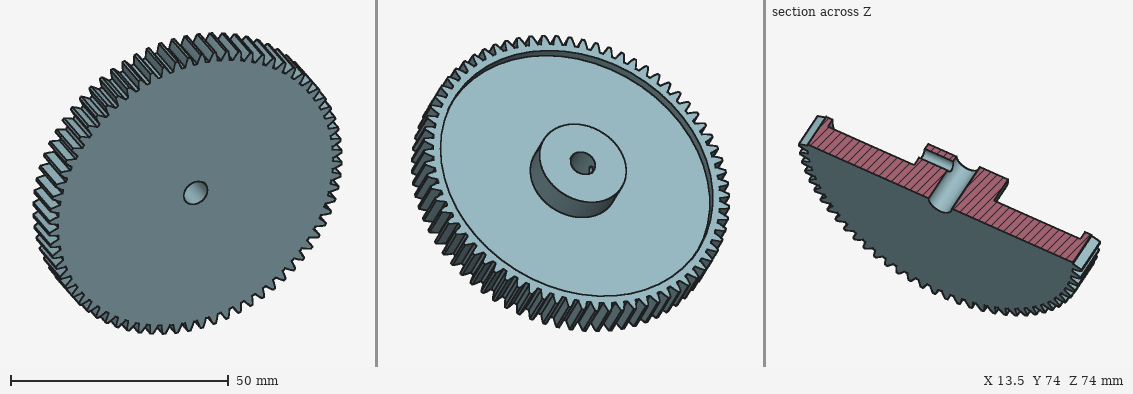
import cadquery as cq
import math

tooth_count = 72
module = 1.0
dedendum_factor = 1.25
tip_width = 0.66
pitch_width = 1.425
root_width = 2.18

face_width = 9.0
hub_length = 4.5
hub_diameter = 21.0
bore_diameter = 6.0
recess_diameter = 66.0
recess_depth = 2.25
screw_hole_diameter = 2.7
screw_hole_x = 3.05

pitch_radius = module * tooth_count / 2
tip_radius = pitch_radius + module
root_radius = pitch_radius - dedendum_factor * module
angular_pitch = 2 * math.pi / tooth_count

gear_face_x = hub_length
total_length = hub_length + face_width
recess_floor_x = gear_face_x + recess_depth


def polar(radius, angle):
    return (radius * math.cos(angle), radius * math.sin(angle))


def half_angle(width, radius):
    """Half of the angle that an arc of the given width spans."""
    return width / (2 * radius)


def cylinder_along_x(diameter, start_x, end_x):
    return cq.Workplane("YZ").workplane(offset=start_x).circle(diameter / 2).extrude(end_x - start_x)


def make_toothed_blank():
    """Toothed disc along X, with a tooth gap centred on the +Y direction."""
    tip_half_angle = half_angle(tip_width, tip_radius)
    pitch_half_angle = half_angle(pitch_width, pitch_radius)
    root_half_angle = half_angle(root_width, root_radius)

    outline = cq.Workplane("YZ").workplane(offset=gear_face_x)
    outline = outline.moveTo(*polar(root_radius, angular_pitch / 2 - root_half_angle))
    for tooth in range(tooth_count):
        centre = (tooth + 0.5) * angular_pitch
        next_gap = centre + angular_pitch / 2
        next_tooth = centre + angular_pitch
        outline = outline.threePointArc(
            polar(pitch_radius, centre - pitch_half_angle),
            polar(tip_radius, centre - tip_half_angle),
        )
        outline = outline.threePointArc(
            polar(tip_radius, centre),
            polar(tip_radius, centre + tip_half_angle),
        )
        outline = outline.threePointArc(
            polar(pitch_radius, centre + pitch_half_angle),
            polar(root_radius, centre + root_half_angle),
        )
        outline = outline.threePointArc(
            polar(root_radius, next_gap),
            polar(root_radius, next_tooth - root_half_angle),
        )
    return outline.close().extrude(face_width)


def make_screw_hole():
    """Radial hole from the bore axis out through the -Y side of the hub."""
    return (
        cq.Workplane("XZ")
        .center(screw_hole_x, 0)
        .circle(screw_hole_diameter / 2)
        .extrude(hub_diameter / 2)
    )


gear = make_toothed_blank()
gear = gear.cut(cylinder_along_x(recess_diameter, gear_face_x, recess_floor_x))
gear = gear.union(cylinder_along_x(hub_diameter, 0, recess_floor_x))
gear = gear.cut(cylinder_along_x(bore_diameter, 0, total_length))
result = gear.cut(make_screw_hole())